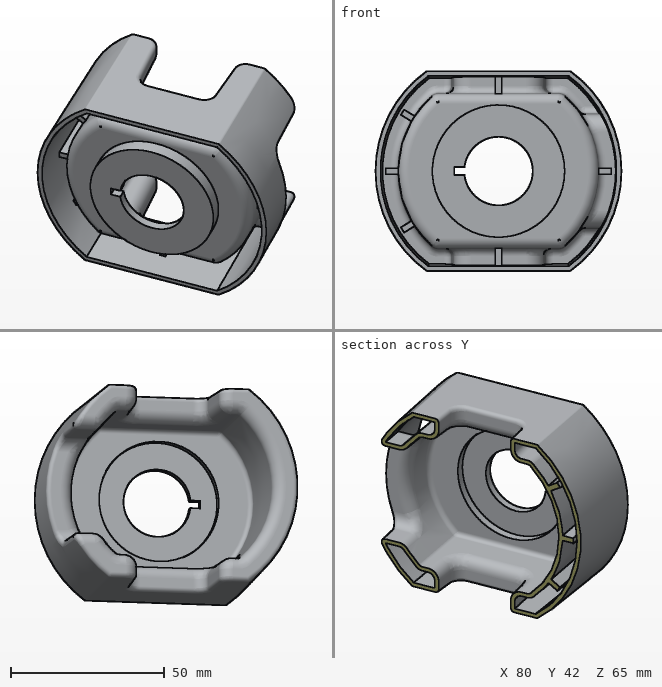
import cadquery as cq
import math


DEPTH = 42.0
OUTER_RADIUS = 40.0
FLAT_HALF_HEIGHT = 32.5
OUTER_DRAFT = 1.0
WALL = 1.6

POCKET_RADIUS = 30.9
POCKET_HALF_HEIGHT = 23.5
POCKET_DRAFT = 0.5
FRONT_FACE_Y = 4.5
POCKET_FLOOR_Y = FRONT_FACE_Y + WALL

NOTCH_FLOOR_Y = 19.5
FLAT_NOTCH_DRAFT = 3.0
SIDE_NOTCH_DRAFT = 1.0
NOTCH_CORNER_RADIUS = 4.0
FLAT_NOTCH_HALF_WIDTH = 12.7
SIDE_NOTCH_HALF_WIDTH = 16.8
NOTCH_FLARE = 6.0

OUTER_CORNER_RADIUS = 1.0
POCKET_CORNER_RADIUS = 1.7
POCKET_FLOOR_FILLET = 1.6
OUTER_EDGE_FILLET = 1.5
INNER_EDGE_FILLET = 4.0

BOSS_DIAMETER = 43.0
BOSS_HOLLOW_DIAMETER = 39.6
BOSS_WEB = 3.0
BORE_DIAMETER = 22.2
KEYWAY_REACH = 14.3
KEYWAY_WIDTH = 2.5

RIB_WIDTH = 2.0
FLAT_RIB_FRONT_Y = 9.4
SIDE_RIB_FRONT_Y = 10.8
RIB_OUTER_RADIUS = 36.6
FLAT_RIB_ANGLES = (90, 270)
DIAGONAL_RIB_ANGLE = 31.5
SIDE_RIB_ANGLES = (0, 180 - DIAGONAL_RIB_ANGLE, 180, 180 + DIAGONAL_RIB_ANGLE)


def flatted_cone(radius, half_height, y_start, y_end, draft, corner_radius=0):
    """Drafted body along Y: a cone cut by two sloping flats, narrowing towards +Y."""
    narrowing = (y_end - y_start) * math.tan(math.radians(draft))
    end_radius = radius - narrowing
    end_height = half_height - narrowing
    cone = (
        cq.Workplane("XY")
        .polyline([(0, y_start), (radius, y_start), (end_radius, y_end), (0, y_end)])
        .close()
        .revolve(360, (0, 0, 0), (0, 1, 0))
    )
    slab = (
        cq.Workplane("YZ")
        .polyline([
            (y_start, half_height), (y_end, end_height),
            (y_end, -end_height), (y_start, -half_height),
        ])
        .close()
        .extrude(2 * radius, both=True)
    )
    body = cone.intersect(slab)
    if corner_radius:
        mid_length = (y_end - y_start) / 2
        corners = body.edges().filter(
            lambda e: e.BoundingBox().ylen > mid_length and abs(e.Center().z) > half_height / 2
        )
        body = corners.fillet(corner_radius)
    return body


def notch_cutter(half_width, draft, inset, length):
    """Notch along +Z from Z = 0, its skin moved into the surrounding material by inset."""
    back = DEPTH - inset
    floor = NOTCH_FLOOR_Y - inset
    floor_half = half_width + inset
    back_half = floor_half + (back - floor) * math.tan(math.radians(draft))
    flare_half = back_half + NOTCH_FLARE
    top = DEPTH + 1
    cutter = (
        cq.Workplane("XY")
        .polyline([
            (-floor_half, floor), (floor_half, floor),
            (back_half, back), (flare_half, back), (flare_half, top),
            (-flare_half, top), (-flare_half, back), (-back_half, back),
        ])
        .close()
        .extrude(length)
    )

    def corner_edges(shape, y, reach):
        return shape.edges("|Z").filter(
            lambda e: abs(e.Center().y - y) < 0.01 and abs(e.Center().x) < reach
        )

    cutter = corner_edges(cutter, floor, flare_half - 1).fillet(NOTCH_CORNER_RADIUS + inset)
    return corner_edges(cutter, back, flare_half - 1).fillet(NOTCH_CORNER_RADIUS - inset)


def round_back_edge(body, nearest, radius):
    """Fillet the chain of tangent edges that starts at the inner (min) or outer (max) -X back edge."""
    arcs = body.faces(">Y").edges("%CIRCLE").vals()
    start = nearest(
        (e for e in arcs if e.Center().x < 0 and abs(e.Center().z) < 1), key=lambda e: -e.Center().x
    )
    return body.newObject([start]).fillet(radius)


def ring_body(inset):
    """Solid ring around the pocket with every face except the front one moved inwards by inset."""
    back = DEPTH - inset
    body = flatted_cone(
        OUTER_RADIUS - inset, FLAT_HALF_HEIGHT - inset, 0, back, OUTER_DRAFT,
        0 if inset else OUTER_CORNER_RADIUS,
    )
    pocket = flatted_cone(
        POCKET_RADIUS + inset, POCKET_HALF_HEIGHT + inset, POCKET_FLOOR_Y - inset, DEPTH,
        -POCKET_DRAFT, POCKET_CORNER_RADIUS + inset,
    )
    pocket = pocket.faces("<Y").edges().fillet(POCKET_FLOOR_FILLET + inset)
    reach = OUTER_RADIUS + 5
    flat_notch = notch_cutter(FLAT_NOTCH_HALF_WIDTH, FLAT_NOTCH_DRAFT, inset, 2 * reach)
    flat_notch = flat_notch.translate((0, 0, -reach))
    side_notch = notch_cutter(SIDE_NOTCH_HALF_WIDTH, SIDE_NOTCH_DRAFT, inset, reach)
    side_notch = side_notch.rotate((0, 0, 0), (0, 1, 0), 90)
    body = body.cut(pocket).cut(flat_notch).cut(side_notch)

    body = round_back_edge(body, min, INNER_EDGE_FILLET - inset)
    if not inset:
        body = round_back_edge(body, max, OUTER_EDGE_FILLET)
    return body


def cylinder(diameter, y_start, y_end):
    """Round bar along the Y axis."""
    disc = cq.Workplane("XZ", origin=(0, y_end, 0)).circle(diameter / 2)
    return disc.extrude(y_end - y_start)


def boss():
    """Round boss standing from the front rim to the pocket floor."""
    return cylinder(BOSS_DIAMETER, 0, POCKET_FLOOR_Y)


def boss_hollow():
    """Hollow behind the boss web, opening into the pocket."""
    return cylinder(BOSS_HOLLOW_DIAMETER, BOSS_WEB, POCKET_FLOOR_Y)


def keyed_bore():
    """Bore through the boss web with a keyway on its -X side."""
    keyway = cq.Workplane("XY").box(
        KEYWAY_REACH, BOSS_WEB, KEYWAY_WIDTH, centered=(False, False, True)
    ).translate((-KEYWAY_REACH, 0, 0))
    return cylinder(BORE_DIAMETER, 0, BOSS_WEB).union(keyway)


def rib_blank(reach, front, angle):
    """Plate from the axis out to reach and from Y = front to the back, turned about Y; 0 points to +X and 90 to +Z."""
    plate = cq.Workplane("XY").box(
        reach, DEPTH - front, RIB_WIDTH, centered=(False, False, True)
    )
    return plate.translate((0, front, 0)).rotate((0, 0, 0), (0, 1, 0), -angle)


def ribbed(hollow):
    """Hollow less short ribs on the rounds and full-width ribs on the flats."""
    blanks = [rib_blank(FLAT_HALF_HEIGHT, FLAT_RIB_FRONT_Y, angle) for angle in FLAT_RIB_ANGLES]
    blanks += [rib_blank(RIB_OUTER_RADIUS, SIDE_RIB_FRONT_Y, angle) for angle in SIDE_RIB_ANGLES]
    for blank in blanks:
        hollow = hollow.cut(blank)
    return hollow


hollow = ribbed(ring_body(WALL))
result = ring_body(0).cut(hollow).union(boss()).cut(boss_hollow()).cut(keyed_bore())